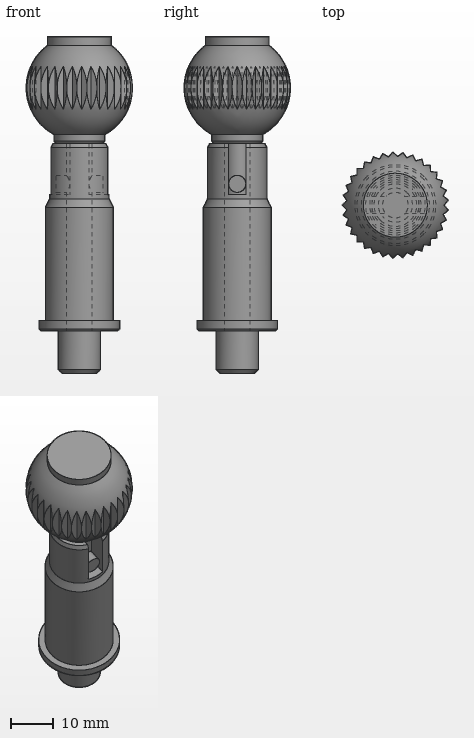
import cadquery as cq
import math


flange_radius = 9.5
flange_bottom_z = 10.0
flange_thickness = 2.5
flange_chamfer = 0.5
body_radius = 8.0
body_top_z = 39.0
upper_radius = 7.0
cone_top_z = 41.0
sleeve_top_z = 54.0
rim_chamfer_width = 0.5
rim_chamfer_height = 1.0
slot_floor_z = 42.0

nose_radius = 5.0
nose_chamfer = 1.0
shaft_radius = 3.0
cross_pin_diameter = 4.0
cross_pin_length = 11.0
cross_pin_z = 44.5
slot_width = cross_pin_diameter
neck_radius = 6.0
neck_chamfer = 0.5
ball_radius = 12.5
ball_center_z = 67.0
cap_radius = 7.5
cap_thickness = 2.0

groove_count = 33
groove_length = 10.0
crest_radius = 12.484
groove_root_radius = math.sqrt(ball_radius**2 - (groove_length / 2) ** 2)


def revolve_profile(profile):
    """Revolve a half section, drawn as radius and height, about the Z axis."""
    return profile.close().revolve(360, (0, 0, 0), (0, 1, 0))


def make_sleeve():
    flange_top_z = flange_bottom_z + flange_thickness
    profile = (
        cq.Workplane("XZ")
        .moveTo(shaft_radius, flange_bottom_z)
        .lineTo(flange_radius - flange_chamfer, flange_bottom_z)
        .lineTo(flange_radius, flange_bottom_z + flange_chamfer)
        .lineTo(flange_radius, flange_top_z)
        .lineTo(body_radius, flange_top_z)
        .lineTo(body_radius, body_top_z)
        .lineTo(upper_radius, cone_top_z)
        .lineTo(upper_radius, sleeve_top_z - rim_chamfer_height)
        .lineTo(upper_radius - rim_chamfer_width, sleeve_top_z)
        .lineTo(shaft_radius, sleeve_top_z)
    )
    slot = cq.Workplane("XY").workplane(offset=slot_floor_z).box(
        2 * body_radius,
        slot_width,
        sleeve_top_z - slot_floor_z,
        centered=(True, True, False),
    )
    return revolve_profile(profile).cut(slot)


def cut_knurling(knob):
    """Cut V grooves parallel to Z, the first one on the +X side."""
    pitch_angle = 2 * math.pi / groove_count
    crest_x = crest_radius * math.cos(pitch_angle / 2)
    crest_y = crest_radius * math.sin(pitch_angle / 2)
    mouth_x = ball_radius + 1.0
    flank_slope = crest_y / (crest_x - groove_root_radius)
    mouth_y = flank_slope * (mouth_x - groove_root_radius)
    groove = (
        cq.Workplane("XY")
        .workplane(offset=ball_center_z - groove_length / 2)
        .moveTo(groove_root_radius, 0)
        .lineTo(mouth_x, mouth_y)
        .lineTo(mouth_x, -mouth_y)
        .close()
        .extrude(groove_length)
    )
    for index in range(groove_count):
        angle = index * 360 / groove_count
        knob = knob.cut(groove.rotate((0, 0, 0), (0, 0, 1), angle))
    return knob


def make_plunger():
    neck_top_z = ball_center_z - math.sqrt(ball_radius**2 - neck_radius**2)
    cap_base_z = ball_center_z + math.sqrt(ball_radius**2 - cap_radius**2)
    cap_top_z = cap_base_z + cap_thickness
    profile = (
        cq.Workplane("XZ")
        .moveTo(0, 0)
        .lineTo(nose_radius - nose_chamfer, 0)
        .lineTo(nose_radius, nose_chamfer)
        .lineTo(nose_radius, flange_bottom_z)
        .lineTo(shaft_radius, flange_bottom_z)
        .lineTo(shaft_radius, sleeve_top_z)
        .lineTo(neck_radius - neck_chamfer, sleeve_top_z)
        .lineTo(neck_radius, sleeve_top_z + neck_chamfer)
        .lineTo(neck_radius, neck_top_z)
        .threePointArc((ball_radius, ball_center_z), (cap_radius, cap_base_z))
        .lineTo(cap_radius, cap_top_z)
        .lineTo(0, cap_top_z)
    )
    cross_pin = (
        cq.Workplane("YZ")
        .center(0, cross_pin_z)
        .circle(cross_pin_diameter / 2)
        .extrude(cross_pin_length / 2, both=True)
    )
    return cut_knurling(revolve_profile(profile)).union(cross_pin)


sleeve = make_sleeve()
plunger = make_plunger()

result = cq.Compound.makeCompound([sleeve.solids().val(), plunger.solids().val()])